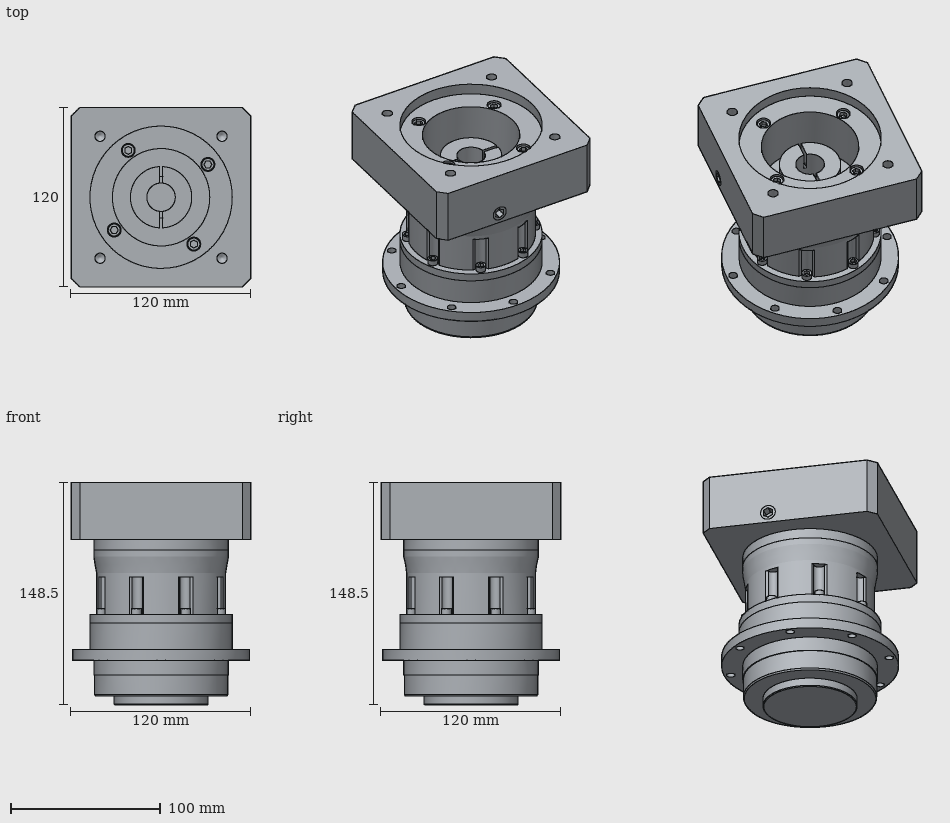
import cadquery as cq
import math

total_height = 148.5
plate_bottom = 110.3
pilot_bottom = 103.5
cone_top = 98.9
cone_bottom = 87.8
groove_top = 85.4
collar_top = 60.5
collar_bottom = 54.8
flange_top = 37.1
flange_bottom = 29.8
nose_top = 20.0
nose_bottom = 6.0

plate_width = 120.0
plate_corner_chamfer = 5.8
recess_radius = 47.5
recess_depth = 7.9
input_bore_radius = 32.5
mount_hole_pitch = 81.4
mount_hole_radius = 3.4
mount_hole_depth = 17.8
drill_point_angle = 118.0

plate_screw_circle_radius = 38.2
plate_screw_first_angle = 35.0
plate_screw_count = 4
counterbore_radius = 4.6
counterbore_depth = 6.0
plate_screw_head_radius = 4.0
plate_screw_head_drop = 1.2
plate_screw_hex = 4.6
plate_screw_hex_depth = 3.0

plug_y = 14.0
plug_z = 117.6
plug_radius = 5.0
plug_length = 11.9
plug_hex = 6.1
plug_hex_depth = 7.4

hub_top = 123.8
hub_collar_bottom = 111.4
hub_radius = 20.5
hub_neck_radius = 14.0
hub_bore_radius = 9.5
hub_slit_width = 2.0

pilot_radius = 45.0
body_radius = 43.0
collar_radius = 47.5
flange_radius = 59.1
nose_radius = 44.5
nose_chamfer_width = 0.6
nose_chamfer_height = 1.2
flange_hole_circle_radius = 54.5
flange_hole_radius = 2.8
flange_hole_count = 8

groove_count = 8
groove_first_angle = 180.0 / groove_count
groove_radius = 3.7
groove_axis_radius = 41.7
groove_mouth_half_width = 5.2
housing_screw_axis_radius = 43.0
housing_screw_head_radius = 3.3
housing_screw_head_height = 3.9
housing_screw_hex = 3.7
housing_screw_hex_depth = 2.5

boss_radius = 31.5
boss_chamfer = 0.6


def cylinder(radius, bottom, top):
    return cq.Workplane("XY").workplane(offset=bottom).circle(radius).extrude(top - bottom)


def turned(profile):
    """Solid of revolution about Z from radius and height pairs."""
    return cq.Workplane("XZ").polyline(profile).close().revolve(360, (0, 0), (0, 1))


def hex_prism(across_flats, height):
    """Hexagonal prism standing on the origin, with corners on the X axis."""
    across_corners = across_flats / math.cos(math.pi / 6)
    return cq.Workplane("XY").polygon(6, across_corners).extrude(height)


def screw_head(radius, bottom, top, hex_size, hex_depth):
    """Cap screw head on the Z axis with a hexagon socket."""
    socket = hex_prism(hex_size, hex_depth).translate((0, 0, top - hex_depth))
    return cylinder(radius, bottom, top).cut(socket)


def ring_of(tool, count, first_angle):
    """Copies of a tool turned about the Z axis at even angles."""
    step = 360.0 / count
    return [tool.rotate((0, 0, 0), (0, 0, 1), first_angle + i * step) for i in range(count)]


def drilled_hole():
    """Blind hole below the plate's top face, ending in a drill point."""
    point_depth = mount_hole_radius / math.tan(math.radians(drill_point_angle / 2))
    profile = [
        (0, 0),
        (mount_hole_radius, 0),
        (mount_hole_radius, -mount_hole_depth),
        (0, -mount_hole_depth - point_depth),
    ]
    return turned(profile).translate((0, 0, total_height))


def plug_cylinder():
    """Outer shape of the plug, which is also the shape of its hole."""
    outer_face = cq.Workplane("YZ", origin=(-plate_width / 2, plug_y, plug_z))
    return outer_face.circle(plug_radius).extrude(plug_length)


def make_adapter_plate():
    recess_floor = total_height - recess_depth
    plate = (
        cq.Workplane("XY")
        .workplane(offset=plate_bottom)
        .rect(plate_width, plate_width)
        .extrude(total_height - plate_bottom)
        .edges("|Z")
        .chamfer(plate_corner_chamfer)
    )
    plate = plate.union(cylinder(pilot_radius, pilot_bottom, plate_bottom))
    plate = plate.cut(cylinder(recess_radius, recess_floor, total_height))
    plate = plate.cut(cylinder(input_bore_radius, pilot_bottom, total_height))

    half_pitch = mount_hole_pitch / 2
    for x in (-half_pitch, half_pitch):
        for y in (-half_pitch, half_pitch):
            plate = plate.cut(drilled_hole().translate((x, y, 0)))

    counterbore_floor = recess_floor - counterbore_depth
    counterbore = cylinder(counterbore_radius, counterbore_floor, recess_floor)
    head = screw_head(
        plate_screw_head_radius,
        counterbore_floor,
        recess_floor - plate_screw_head_drop,
        plate_screw_hex,
        plate_screw_hex_depth,
    )
    head = head.rotate((0, 0, 0), (0, 0, 1), -plate_screw_first_angle)
    screw_offset = (plate_screw_circle_radius, 0, 0)
    for tool in ring_of(counterbore.translate(screw_offset), plate_screw_count, plate_screw_first_angle):
        plate = plate.cut(tool)
    for tool in ring_of(head.translate(screw_offset), plate_screw_count, plate_screw_first_angle):
        plate = plate.union(tool)

    return plate.cut(plug_cylinder())


def make_plug():
    socket = hex_prism(plug_hex, plug_hex_depth).rotate((0, 0, 0), (0, 1, 0), 90)
    return plug_cylinder().cut(socket.translate((-plate_width / 2, plug_y, plug_z)))


def make_clamp_hub():
    neck = cylinder(hub_neck_radius, pilot_bottom, hub_collar_bottom)
    collar = cylinder(hub_radius, hub_collar_bottom, hub_top)
    slit = (
        cq.Workplane("XY")
        .workplane(offset=hub_collar_bottom)
        .rect(hub_slit_width, 2 * hub_radius)
        .extrude(hub_top - hub_collar_bottom)
    )
    hub = neck.union(collar.cut(slit))
    return hub.cut(cylinder(hub_bore_radius, pilot_bottom, hub_top))


def groove_cutter():
    """Round-bottomed groove on the +X side, its mouth widened by two flats."""
    mouth_x = math.sqrt(body_radius**2 - groove_mouth_half_width**2)
    clear_x = body_radius + groove_radius
    return (
        cq.Workplane("XY")
        .workplane(offset=collar_top)
        .moveTo(clear_x, -groove_mouth_half_width)
        .lineTo(mouth_x, -groove_mouth_half_width)
        .lineTo(groove_axis_radius, -groove_radius)
        .threePointArc((groove_axis_radius - groove_radius, 0), (groove_axis_radius, groove_radius))
        .lineTo(mouth_x, groove_mouth_half_width)
        .lineTo(clear_x, groove_mouth_half_width)
        .close()
        .extrude(groove_top - collar_top)
    )


def make_gear_housing():
    housing = turned([
        (0, collar_bottom),
        (collar_radius, collar_bottom),
        (collar_radius, collar_top),
        (body_radius, collar_top),
        (body_radius, cone_bottom),
        (pilot_radius, cone_top),
        (pilot_radius, pilot_bottom),
        (0, pilot_bottom),
    ])

    for tool in ring_of(groove_cutter(), groove_count, groove_first_angle):
        housing = housing.cut(tool)

    head = screw_head(
        housing_screw_head_radius,
        collar_top,
        collar_top + housing_screw_head_height,
        housing_screw_hex,
        housing_screw_hex_depth,
    )
    head = head.translate((housing_screw_axis_radius, 0, 0))
    for tool in ring_of(head, groove_count, groove_first_angle):
        housing = housing.union(tool)
    return housing


def make_output_housing():
    housing = turned([
        (0, 0),
        (boss_radius - boss_chamfer, 0),
        (boss_radius, boss_chamfer),
        (boss_radius, nose_bottom),
        (nose_radius - nose_chamfer_width, nose_bottom),
        (nose_radius, nose_bottom + nose_chamfer_height),
        (nose_radius, nose_top),
        (pilot_radius, nose_top),
        (pilot_radius, flange_bottom),
        (flange_radius, flange_bottom),
        (flange_radius, flange_top),
        (collar_radius, flange_top),
        (collar_radius, collar_bottom),
        (0, collar_bottom),
    ])

    flange_hole = cylinder(flange_hole_radius, flange_bottom, flange_top)
    flange_hole = flange_hole.translate((flange_hole_circle_radius, 0, 0))
    for tool in ring_of(flange_hole, flange_hole_count, 0):
        housing = housing.cut(tool)
    return housing


adapter_plate = make_adapter_plate()
plug = make_plug()
clamp_hub = make_clamp_hub()
gear_housing = make_gear_housing()
output_housing = make_output_housing()

result = cq.Compound.makeCompound(
    [adapter_plate.val(), plug.val(), clamp_hub.val(), gear_housing.val(), output_housing.val()]
)